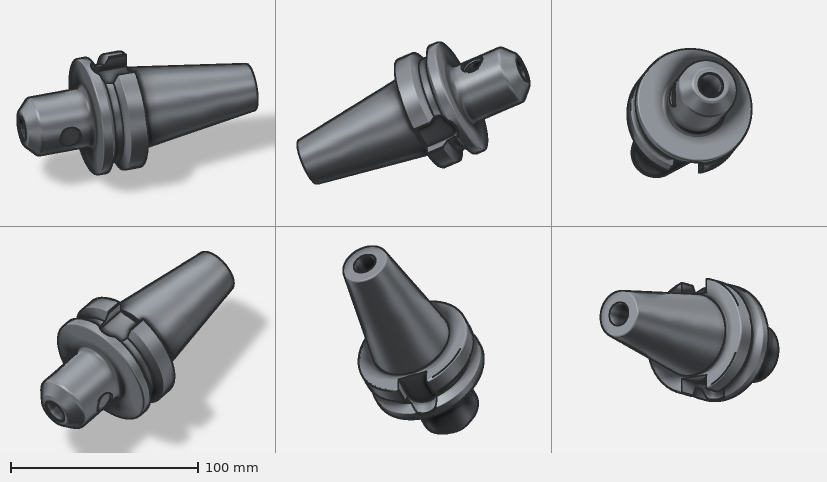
import cadquery as cq
import math


GAUGE_DIAMETER = 44.45
TAPER_RATIO = 7 / 24
SHANK_LENGTH = 65.4
SHANK_END_ROUND = 1.0

NECK_DIAMETER = 43.5
NECK_CHAMFER_LENGTH = 0.75
NECK_FILLET = 1.0

FLANGE_DIAMETER = 63.0
FLANGE_BACK_Y = -2.0
FLANGE_FRONT_Y = -27.0
FLANGE_BACK_ROUND = 1.0
FLANGE_FRONT_ROUND = 1.0
GROOVE_DIAMETER = 53.0
GROOVE_CENTER_Y = -16.6
GROOVE_FLOOR_WIDTH = 4.4
GROOVE_FLANK_ANGLE = 30.0
GROOVE_EDGE_ROUND = 0.5

SLOT_WIDTH = 16.1
SLOT_CENTER_Y = -15.4
SLOT_FLOOR_HEIGHT = 22.5
SLOT_CHAMFER = 0.6

NOSE_DIAMETER = 31.75
NOSE_END_Y = -63.0
NOSE_ROOT_FILLET = 3.0
NOSE_CONE_LENGTH = 6.3
NOSE_CONE_END_DIAMETER = 19.07
NOSE_SHOULDER_ROUND = 2.0
NOSE_TIP_ROUND = 2.5

BORE_DIAMETER = 12.7
BORE_CHAMFER = 0.5
SCREW_CENTER_Y = NOSE_END_Y + 22.225
SCREW_DIAMETER = 9.73
SCREW_COUNTERBORE_DIAMETER = 12.5
SCREW_COUNTERBORE_FLOOR = 14.2
SCREW_SINK_DIAMETER = 11.8
SCREW_SINK_ANGLE = 90.0

RECESS_DIAMETER = 11.8
RECESS_FLOOR = 14.6

EDGE_MARGIN = 0.01


def round_edges_at(body, radius, y, size):
    """Fillet the circular edge of the given radius lying at height y."""
    corner = cq.selectors.BoxSelector(
        (-radius - EDGE_MARGIN, y - EDGE_MARGIN, -radius - EDGE_MARGIN),
        (radius + EDGE_MARGIN, y + EDGE_MARGIN, radius + EDGE_MARGIN),
        boundingbox=True,
    )
    smaller = cq.selectors.BoxSelector(
        (-radius + EDGE_MARGIN, y - EDGE_MARGIN, -radius + EDGE_MARGIN),
        (radius - EDGE_MARGIN, y + EDGE_MARGIN, radius - EDGE_MARGIN),
        boundingbox=True,
    )
    return body.edges(corner - smaller).fillet(size)


def make_turned_body():
    """Revolve the outer profile, then round its corners."""
    gauge_radius = GAUGE_DIAMETER / 2
    shank_end_radius = gauge_radius - SHANK_LENGTH * TAPER_RATIO / 2
    neck_radius = NECK_DIAMETER / 2
    flange_radius = FLANGE_DIAMETER / 2
    groove_radius = GROOVE_DIAMETER / 2
    floor_half = GROOVE_FLOOR_WIDTH / 2
    flank_run = (flange_radius - groove_radius) * math.tan(math.radians(GROOVE_FLANK_ANGLE))
    groove_back_y = GROOVE_CENTER_Y + floor_half + flank_run
    groove_front_y = GROOVE_CENTER_Y - floor_half - flank_run
    nose_radius = NOSE_DIAMETER / 2
    cone_start_y = NOSE_END_Y + NOSE_CONE_LENGTH
    cone_end_radius = NOSE_CONE_END_DIAMETER / 2

    profile = [
        (0, SHANK_LENGTH),
        (shank_end_radius, SHANK_LENGTH),
        (gauge_radius, 0),
        (neck_radius, -NECK_CHAMFER_LENGTH),
        (neck_radius, FLANGE_BACK_Y),
        (flange_radius, FLANGE_BACK_Y),
        (flange_radius, groove_back_y),
        (groove_radius, GROOVE_CENTER_Y + floor_half),
        (groove_radius, GROOVE_CENTER_Y - floor_half),
        (flange_radius, groove_front_y),
        (flange_radius, FLANGE_FRONT_Y),
        (nose_radius, FLANGE_FRONT_Y),
        (nose_radius, cone_start_y),
        (cone_end_radius, NOSE_END_Y),
        (0, NOSE_END_Y),
    ]
    body = cq.Workplane("XY").polyline(profile).close().revolve(360, (0, 0, 0), (0, 1, 0))

    rounds = [
        (shank_end_radius, SHANK_LENGTH, SHANK_END_ROUND),
        (neck_radius, FLANGE_BACK_Y, NECK_FILLET),
        (flange_radius, FLANGE_BACK_Y, FLANGE_BACK_ROUND),
        (flange_radius, groove_back_y, GROOVE_EDGE_ROUND),
        (flange_radius, groove_front_y, GROOVE_EDGE_ROUND),
        (flange_radius, FLANGE_FRONT_Y, FLANGE_FRONT_ROUND),
        (nose_radius, FLANGE_FRONT_Y, NOSE_ROOT_FILLET),
        (nose_radius, cone_start_y, NOSE_SHOULDER_ROUND),
        (cone_end_radius, NOSE_END_Y, NOSE_TIP_ROUND),
    ]
    for radius, y, size in rounds:
        body = round_edges_at(body, radius, y, size)
    return body


def make_drive_slot(side):
    """Flat-floored slot with a round front end, open toward the shank."""
    half_width = SLOT_WIDTH / 2
    return (
        cq.Workplane("XY", origin=(0, 0, side * SLOT_FLOOR_HEIGHT))
        .moveTo(-half_width, SHANK_LENGTH)
        .lineTo(-half_width, SLOT_CENTER_Y)
        .threePointArc((0, SLOT_CENTER_Y - half_width), (half_width, SLOT_CENTER_Y))
        .lineTo(half_width, SHANK_LENGTH)
        .close()
        .extrude(side * FLANGE_DIAMETER / 2)
    )


def make_slotted_envelope():
    """Solid cylinder around the whole part, slotted on both sides, with chamfered slot rims."""
    flange_radius = FLANGE_DIAMETER / 2
    length = SHANK_LENGTH - NOSE_END_Y
    envelope = cq.Workplane("XZ", origin=(0, SHANK_LENGTH, 0)).circle(flange_radius).extrude(length)
    half_width = SLOT_WIDTH / 2
    reach = half_width + EDGE_MARGIN
    rim_low = math.sqrt(flange_radius**2 - half_width**2) - EDGE_MARGIN
    rim_high = flange_radius + EDGE_MARGIN
    for side in (-1, 1):
        rim_box = cq.selectors.BoxSelector(
            (-reach, NOSE_END_Y + EDGE_MARGIN, side * rim_low),
            (reach, SHANK_LENGTH - EDGE_MARGIN, side * rim_high),
        )
        envelope = envelope.cut(make_drive_slot(side))
        envelope = envelope.edges(rim_box).chamfer(SLOT_CHAMFER)
    return envelope


def make_bore():
    """Through bore with a chamfered mouth at the nose."""
    radius = BORE_DIAMETER / 2
    profile = [
        (0, NOSE_END_Y),
        (radius + BORE_CHAMFER, NOSE_END_Y),
        (radius, NOSE_END_Y + BORE_CHAMFER),
        (radius, SHANK_LENGTH),
        (0, SHANK_LENGTH),
    ]
    return cq.Workplane("XY").polyline(profile).close().revolve(360, (0, 0, 0), (0, 1, 0))


def make_screw_hole():
    """Clamping screw hole from the -X side: counterbore, countersink and hole down to the bore."""
    hole_radius = SCREW_DIAMETER / 2
    sink_radius = SCREW_SINK_DIAMETER / 2
    counterbore_radius = SCREW_COUNTERBORE_DIAMETER / 2
    sink_depth = (sink_radius - hole_radius) / math.tan(math.radians(SCREW_SINK_ANGLE / 2))
    sink_end_x = -SCREW_COUNTERBORE_FLOOR + sink_depth
    profile = [
        (0, SCREW_CENTER_Y),
        (0, SCREW_CENTER_Y + hole_radius),
        (sink_end_x, SCREW_CENTER_Y + hole_radius),
        (-SCREW_COUNTERBORE_FLOOR, SCREW_CENTER_Y + sink_radius),
        (-SCREW_COUNTERBORE_FLOOR, SCREW_CENTER_Y + counterbore_radius),
        (-NOSE_DIAMETER, SCREW_CENTER_Y + counterbore_radius),
        (-NOSE_DIAMETER, SCREW_CENTER_Y),
    ]
    axis_start = (0, SCREW_CENTER_Y, 0)
    axis_end = (1, SCREW_CENTER_Y, 0)
    return cq.Workplane("XY").polyline(profile).close().revolve(360, axis_start, axis_end)


def make_far_side_recess():
    """Shallow flat-floored round recess on the +X side, opposite the screw hole."""
    floor = cq.Workplane("YZ", origin=(RECESS_FLOOR, SCREW_CENTER_Y, 0))
    return floor.circle(RECESS_DIAMETER / 2).extrude(NOSE_DIAMETER)


result = make_turned_body().intersect(make_slotted_envelope())
result = result.cut(make_bore()).cut(make_screw_hole()).cut(make_far_side_recess())